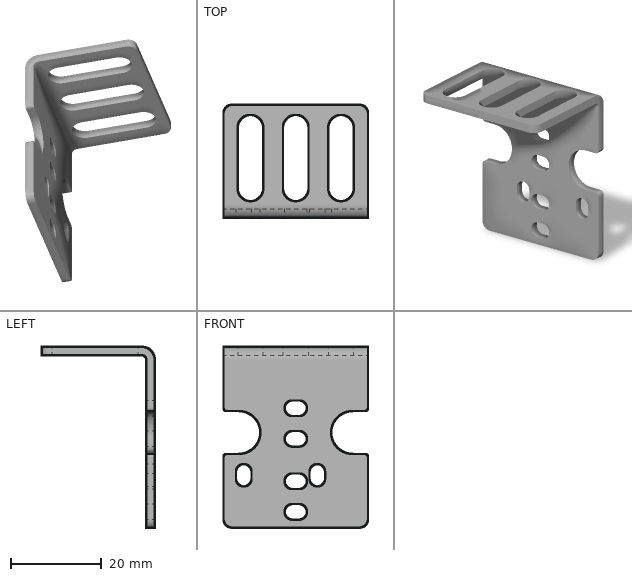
import cadquery as cq

width = 32.0
depth = 25.0
height = 40.0

thickness = 1.9
bend_outer_radius = 2.9
bend_inner_radius = bend_outer_radius - thickness
flange_corner_radius = 2.0

notch_height = 9.4
notch_radius = notch_height / 2
notch_depth = 8.15
notch_z = 21.05
notch_corner_radius = 0.8

slot_length = 4.9
slot_width = 3.4
centre_slot_heights = (3.5, 10.3, 19.65, 26.4)
side_slot_places = ((-11.5, 11.6), (4.75, 11.6))

long_slot_length = 19.0
long_slot_width = 5.6
long_slot_pitch = 10.0
long_slot_count = 3
long_slot_y = 13.2


def bent_sheet():
    """L-shaped sheet with its front face on Y = 0 and its bottom on Z = 0."""
    sheet = (
        cq.Workplane("YZ")
        .polyline([
            (0, 0),
            (thickness, 0),
            (thickness, height - thickness),
            (depth, height - thickness),
            (depth, height),
            (0, height),
        ])
        .close()
        .extrude(width / 2, both=True)
    )
    sheet = sheet.edges("|X and <Y and >Z").fillet(bend_outer_radius)
    inner_edge = cq.selectors.NearestToPointSelector((0, thickness, height - thickness))
    sheet = sheet.edges(inner_edge).fillet(bend_inner_radius)
    sheet = sheet.faces("<Z").edges("|Y").fillet(flange_corner_radius)
    return sheet.faces(">Y").edges("|Z").fillet(flange_corner_radius)


def upright_plane():
    """Plane on the front face of the upright plate, pointing into the sheet."""
    return cq.Workplane(cq.Plane((0, 0, 0), xDir=(1, 0, 0), normal=(0, -1, 0)))


def cut_notch(sheet, side):
    """Cut a round-ended notch into the side edge and round its mouth corners."""
    edge_x = side * width / 2
    cutter = (
        upright_plane()
        .center(edge_x, notch_z)
        .slot2D(2 * notch_depth, notch_height)
        .extrude(-thickness)
    )
    sheet = sheet.cut(cutter)
    for end in (-1, 1):
        corner = (edge_x, thickness / 2, notch_z + end * notch_radius)
        sheet = sheet.edges(cq.selectors.NearestToPointSelector(corner)).fillet(notch_corner_radius)
    return sheet


def upright_slots():
    """Cutters for the horizontal centre slots and the vertical side slots."""
    horizontal = (
        upright_plane()
        .pushPoints([(0, z) for z in centre_slot_heights])
        .slot2D(slot_length, slot_width)
        .extrude(-thickness)
    )
    vertical = (
        upright_plane()
        .pushPoints(side_slot_places)
        .slot2D(slot_length, slot_width, 90)
        .extrude(-thickness)
    )
    return horizontal.union(vertical)


def flange_slots():
    """Cutters for the row of long slots through the top flange."""
    return (
        cq.Workplane("XY", origin=(0, long_slot_y, height))
        .rarray(long_slot_pitch, 0.4, long_slot_count, 1)
        .slot2D(long_slot_length, long_slot_width, 90)
        .extrude(-thickness)
    )


bracket = bent_sheet()
for side in (-1, 1):
    bracket = cut_notch(bracket, side)
result = bracket.cut(upright_slots()).cut(flange_slots())